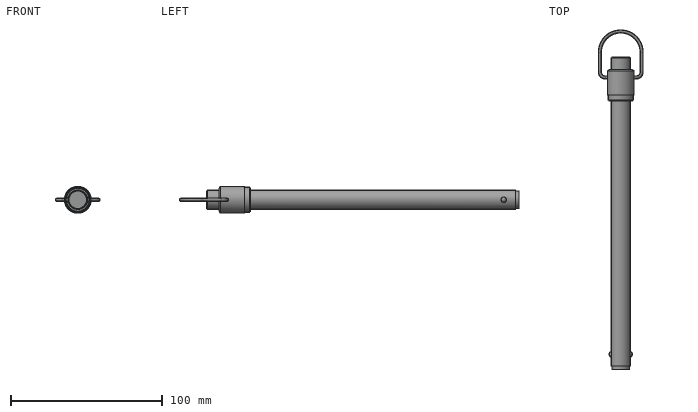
import cadquery as cq

overall_length = 223.8
shaft_radius = 6.38

tip_radius = 5.8
tip_length = 2.5

collar_radius = 8.85
collar_start = 181.0
collar_end = 197.8
collar_chamfer_length = 1.1
collar_chamfer_depth = 1.5
neck_radius = 8.3
neck_start = 177.0
neck_chamfer = 0.7

button_end = 205.9
button_chamfer = 0.7

ball_radius = 1.8
ball_reach = 7.72
ball_position = 10.0

wire_radius = 1.0
ring_outer_width = 29.5
ring_radius = ring_outer_width / 2 - wire_radius
ring_center = overall_length - wire_radius - ring_radius
bend_radius = 3.5
bend_start = 196.0
wire_end_x = 4.5


def make_pin():
    """Revolve the stepped half profile of tip, shaft, collar and button."""
    profile = [
        (0, 0),
        (tip_radius, 0),
        (tip_radius, tip_length),
        (shaft_radius, tip_length),
        (shaft_radius, neck_start),
        (neck_radius - neck_chamfer, neck_start),
        (neck_radius, neck_start + neck_chamfer),
        (neck_radius, collar_start),
        (collar_radius, collar_start),
        (collar_radius, collar_end - collar_chamfer_length),
        (collar_radius - collar_chamfer_depth, collar_end),
        (shaft_radius, collar_end),
        (shaft_radius, button_end - button_chamfer),
        (shaft_radius - button_chamfer, button_end),
        (0, button_end),
    ]
    return cq.Workplane("XY").polyline(profile).close().revolve(360, (0, 0, 0), (0, 1, 0))


def make_ring():
    """Sweep the round wire along a U whose ends bend in towards the collar."""
    foot_y = bend_start - bend_radius
    foot_x = ring_radius - bend_radius
    path = (
        cq.Workplane("XY")
        .moveTo(-wire_end_x, foot_y)
        .lineTo(-foot_x, foot_y)
        .tangentArcPoint((-ring_radius, bend_start), relative=False)
        .lineTo(-ring_radius, ring_center)
        .threePointArc((0, ring_center + ring_radius), (ring_radius, ring_center))
        .lineTo(ring_radius, bend_start)
        .tangentArcPoint((foot_x, foot_y), relative=False)
        .lineTo(wire_end_x, foot_y)
    )
    section = cq.Workplane("YZ", origin=(-wire_end_x, foot_y, 0)).circle(wire_radius)
    return section.sweep(path)


result = make_pin().union(make_ring())
for side in (-1, 1):
    ball_x = side * (ball_reach - ball_radius)
    ball = cq.Workplane("XY").sphere(ball_radius).translate((ball_x, ball_position, 0))
    result = result.union(ball)